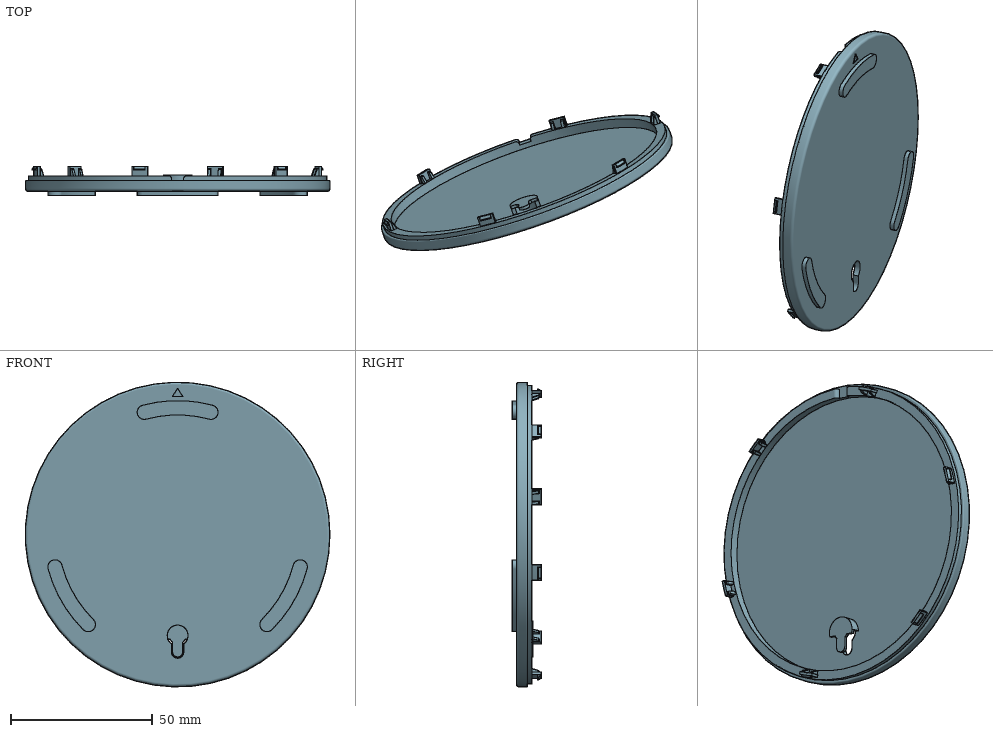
import cadquery as cq
import math


overall_depth = 10.4

plate_radius = 54.0
flange_height = 3.9
front_fillet = 1.0
flange_edge_fillet = 0.3
floor_thickness = 2.2
ring_radius = 52.9
ring_inner_radius = 49.7
ring_top = 5.5

notch_width = 4.2
notch_half_width = notch_width / 2
notch_flare_radius = 1.1

mark_apex_z = 51.8
mark_base_z = 48.9
mark_half_width = 1.8
mark_depth = 0.2

keyhole_z = -35.7
head_radius = 3.7
slot_width = 4.2
slot_end_z = -43.7
hood_radius = 5.1
hood_top = 5.8
hood_roof_drop = 1.4
hood_roof_thickness = 1.1
hood_lower_radius = 3.0
tongue_width = 3.7
tongue_end_gap = 0.3

clip_count = 6
clip_first_angle = 45.0
clip_width = 5.7
clip_top = 8.9
clip_inner_radius = 51.2
clip_outer_radius = 52.2
hook_tip_radius = 52.8
hook_lead_in = 1.0
hook_land = 0.3
hook_width = 4.1
gusset_width = 1.1
gusset_inset = 0.3
gusset_foot_radius = 49.8
gusset_head_radius = 50.5
gusset_top = 8.2
gusset_chamfer = 0.4

pad_count = 3
pad_first_angle = 90.0
pad_thickness = overall_depth - clip_top
pad_arc_radius = 44.9
pad_width = 5.1
pad_half_angle = 15.2


def cylinder(radius, y_from, y_to, z=0.0):
    """Solid cylinder along Y, centred on X = 0."""
    return cq.Workplane("XZ", origin=(0, y_from, z)).circle(radius).extrude(y_from - y_to)


def turned_to(body, angle):
    """Swing a body from the +X direction to an angle counted from +X toward +Z."""
    return body.rotate((0, 0, 0), (0, 1, 0), -angle)


def ring_sector(profile, width, angle):
    """Revolve a radius-height profile over a given width of arc, centred on an angle."""
    sweep = math.degrees(width / clip_outer_radius)
    sector = cq.Workplane("XY").polyline(profile).close().revolve(sweep, (0, 0, 0), (0, 1, 0))
    middle = sector.val().Center()
    return turned_to(sector, angle - math.degrees(math.atan2(middle.z, middle.x)))


def make_tray():
    flange = cylinder(plate_radius, 0, flange_height)
    flange = flange.faces("<Y").edges().fillet(front_fillet)
    flange = flange.faces(">Y").edges().fillet(flange_edge_fillet)
    ring = cylinder(ring_radius, floor_thickness, ring_top)
    cavity = cylinder(ring_inner_radius, floor_thickness, ring_top)
    return flange.union(ring).cut(cavity)


def make_notch():
    """Notch profile with rounded shoulders, cut through the ring wall at +Z."""
    flare_half_width = notch_half_width + notch_flare_radius
    shoulder_y = ring_top - notch_flare_radius
    arc_middle_x = flare_half_width - notch_flare_radius * math.cos(math.radians(45))
    arc_middle_y = shoulder_y + notch_flare_radius * math.sin(math.radians(45))
    return (
        cq.Workplane("XY", origin=(0, 0, hood_radius))
        .moveTo(-notch_half_width, flange_height)
        .lineTo(notch_half_width, flange_height)
        .lineTo(notch_half_width, shoulder_y)
        .threePointArc((arc_middle_x, arc_middle_y), (flare_half_width, ring_top))
        .lineTo(-flare_half_width, ring_top)
        .threePointArc((-arc_middle_x, arc_middle_y), (-notch_half_width, shoulder_y))
        .close()
        .extrude(plate_radius)
    )


def make_mark():
    corners = [(-mark_half_width, mark_base_z), (mark_half_width, mark_base_z), (0, mark_apex_z)]
    return cq.Workplane("XZ").polyline(corners).close().extrude(-mark_depth)


def make_keyhole_shape(round_radius, straight_width, end_z, y_from, y_to):
    """Round head with a round-ended slot running down from it."""
    half_width = straight_width / 2
    slot = (
        cq.Workplane("XZ", origin=(0, y_from, 0))
        .moveTo(-half_width, keyhole_z)
        .lineTo(half_width, keyhole_z)
        .lineTo(half_width, end_z + half_width)
        .threePointArc((0, end_z), (-half_width, end_z + half_width))
        .close()
        .extrude(y_from - y_to)
    )
    return cylinder(round_radius, y_from, y_to, keyhole_z).union(slot)


def disc_above(z_limit, radius, y_from, y_to):
    """Part of a disc around the keyhole head that lies above a given Z."""
    upper_block_size = 4 * radius
    upper_block = cq.Workplane("XY", origin=(0, 0, z_limit)).rect(
        upper_block_size, upper_block_size).extrude(upper_block_size)
    return cylinder(radius, y_from, y_to, keyhole_z).intersect(upper_block)


def make_hood():
    """Half-round wall above the keyhole head, carrying a roof with a tongue behind the slot."""
    roof_underside = hood_top - hood_roof_thickness
    wall = disc_above(keyhole_z, hood_radius, floor_thickness, roof_underside)
    wall = wall.cut(cylinder(head_radius, floor_thickness, roof_underside, keyhole_z))
    roof = disc_above(keyhole_z - hood_roof_drop, hood_radius, roof_underside, hood_top)
    tongue = make_keyhole_shape(
        hood_lower_radius, tongue_width, slot_end_z + tongue_end_gap, roof_underside, hood_top)
    return wall.union(roof).union(tongue)


def make_clip(angle):
    """Curved wall with an outward hook, stiffened by a gusset at each end."""
    tip_top = clip_top - hook_lead_in
    tip_bottom = tip_top - hook_land
    wall_profile = [
        (clip_inner_radius, floor_thickness),
        (clip_outer_radius, floor_thickness),
        (clip_outer_radius, clip_top),
        (clip_inner_radius, clip_top),
    ]
    hook_profile = [
        (clip_inner_radius, tip_bottom),
        (hook_tip_radius, tip_bottom),
        (hook_tip_radius, tip_top),
        (clip_outer_radius, clip_top),
        (clip_inner_radius, clip_top),
    ]
    gusset_profile = [
        (gusset_foot_radius, floor_thickness),
        (clip_outer_radius, floor_thickness),
        (clip_outer_radius, gusset_top),
        (gusset_head_radius + gusset_chamfer, gusset_top),
        (gusset_head_radius, gusset_top - gusset_chamfer),
        (gusset_foot_radius, ring_top),
    ]
    gusset_offset = (clip_width - gusset_width) / 2 - gusset_inset
    gusset_angle = math.degrees(gusset_offset / clip_outer_radius)
    clip = ring_sector(wall_profile, clip_width, angle)
    clip = clip.union(ring_sector(hook_profile, hook_width, angle))
    for side in (-1, 1):
        clip = clip.union(ring_sector(gusset_profile, gusset_width, angle + side * gusset_angle))
    return clip


def make_plate():
    plate = make_tray().cut(make_notch()).cut(make_mark())
    plate = plate.cut(
        make_keyhole_shape(head_radius, slot_width, slot_end_z, 0, floor_thickness))
    plate = plate.union(make_hood())
    for index in range(clip_count):
        plate = plate.union(make_clip(clip_first_angle + index * 360 / clip_count))
    return plate


def make_pad(angle):
    """Arc-shaped pad with round ends, lying on the front face."""
    def polar(radius, degrees):
        return (radius * math.cos(math.radians(degrees)), radius * math.sin(math.radians(degrees)))

    inner = pad_arc_radius - pad_width / 2
    outer = pad_arc_radius + pad_width / 2
    end_cap_angle = pad_half_angle + math.degrees(pad_width / 2 / pad_arc_radius)
    pad = (
        cq.Workplane("XZ")
        .moveTo(*polar(outer, -pad_half_angle))
        .threePointArc((outer, 0), polar(outer, pad_half_angle))
        .threePointArc(polar(pad_arc_radius, end_cap_angle), polar(inner, pad_half_angle))
        .threePointArc((inner, 0), polar(inner, -pad_half_angle))
        .threePointArc(polar(pad_arc_radius, -end_cap_angle), polar(outer, -pad_half_angle))
        .close()
        .extrude(pad_thickness)
    )
    return turned_to(pad, angle)


plate = make_plate()
pads = [make_pad(pad_first_angle + index * 360 / pad_count) for index in range(pad_count)]

result = cq.Compound.makeCompound([plate.val(), *[pad.val() for pad in pads]])